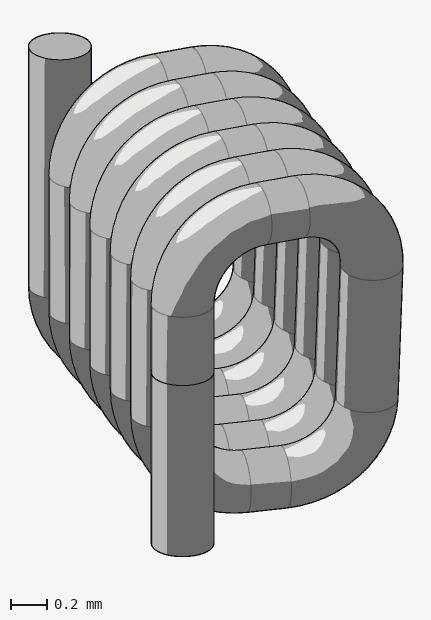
import cadquery as cq

COIL_LENGTH = 2.44
COIL_DEPTH = 1.49
COIL_HEIGHT = 2.1

WIRE_DIAMETER = 0.346
TURNS = 6
BEND_RADIUS = 0.46
LEAD_END_INSET = 0.007

PITCH = (COIL_LENGTH - WIRE_DIAMETER) / TURNS
FIRST_X = -TURNS * PITCH / 2
LAST_X = TURNS * PITCH / 2
FRONT_Y = -(COIL_DEPTH - WIRE_DIAMETER) / 2
BACK_Y = -FRONT_Y
TOP_Z = (COIL_HEIGHT - WIRE_DIAMETER) / 2
BOTTOM_Z = -TOP_Z

SIDE_ADVANCE = PITCH / 4

LEAD_END_Z = COIL_HEIGHT / 2 - LEAD_END_INSET
LEAD_JOINT_Z = 0.0


def turn_corners(turn_x):
    """Sharp corners of one turn that starts at the bottom front."""
    next_x = turn_x + PITCH
    return [
        cq.Vector(turn_x, FRONT_Y, BOTTOM_Z),
        cq.Vector(turn_x + SIDE_ADVANCE, BACK_Y, BOTTOM_Z),
        cq.Vector(next_x - SIDE_ADVANCE, BACK_Y, TOP_Z),
        cq.Vector(next_x, FRONT_Y, TOP_Z),
    ]


def rounded_path(points, radius):
    """Wire through the points, with an arc in place of each corner."""
    edges = []
    line_start = points[0]
    for before, corner, after in zip(points, points[1:], points[2:]):
        direction_in = (corner - before).normalized()
        direction_out = (after - corner).normalized()
        setback = radius * (direction_out - direction_in).Length / (direction_out + direction_in).Length
        arc_start = corner - direction_in * setback
        arc_end = corner + direction_out * setback
        edges.append(cq.Edge.makeLine(line_start, arc_start))
        edges.append(cq.Edge.makeTangentArc(arc_start, direction_in, arc_end))
        line_start = arc_end
    edges.append(cq.Edge.makeLine(line_start, points[-1]))
    return cq.Wire.assembleEdges(edges)


def make_winding():
    """Upper lead and all the turns, as one bent round wire."""
    points = [cq.Vector(FIRST_X, FRONT_Y, LEAD_END_Z)]
    for turn in range(TURNS):
        points += turn_corners(FIRST_X + turn * PITCH)
    points.append(cq.Vector(LAST_X, FRONT_Y, LEAD_JOINT_Z))
    path = rounded_path(points, BEND_RADIUS)
    section = cq.Workplane("XY", origin=points[0].toTuple()).circle(WIRE_DIAMETER / 2)
    return section.sweep(cq.Workplane(path))


def make_lower_lead():
    """Straight round lead that carries on down from the end of the winding."""
    lead = cq.Workplane("XY", origin=(LAST_X, FRONT_Y, LEAD_JOINT_Z)).circle(WIRE_DIAMETER / 2)
    return lead.extrude(-LEAD_END_Z - LEAD_JOINT_Z)


winding = make_winding()
lower_lead = make_lower_lead()

result = cq.Compound.makeCompound([winding.val(), lower_lead.val()])